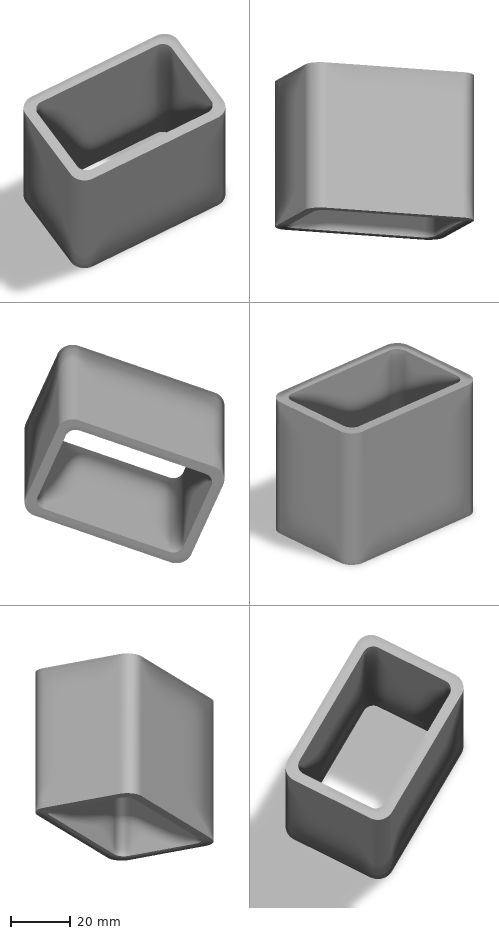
import cadquery as cq

length = 60.0
width = 40.0
height = 50.0
wall = 3.6
outer_radius = 1.5 * wall
inner_radius = wall


def rounded_block(size_x, size_y, corner_radius):
    """Upright block, centred on Z, with its vertical edges rounded."""
    block = cq.Workplane("XY").rect(size_x, size_y).extrude(height)
    return block.edges("|Z").fillet(corner_radius)


outer_body = rounded_block(width, length, outer_radius)
opening = rounded_block(width - 2 * wall, length - 2 * wall, inner_radius)

result = outer_body.cut(opening)